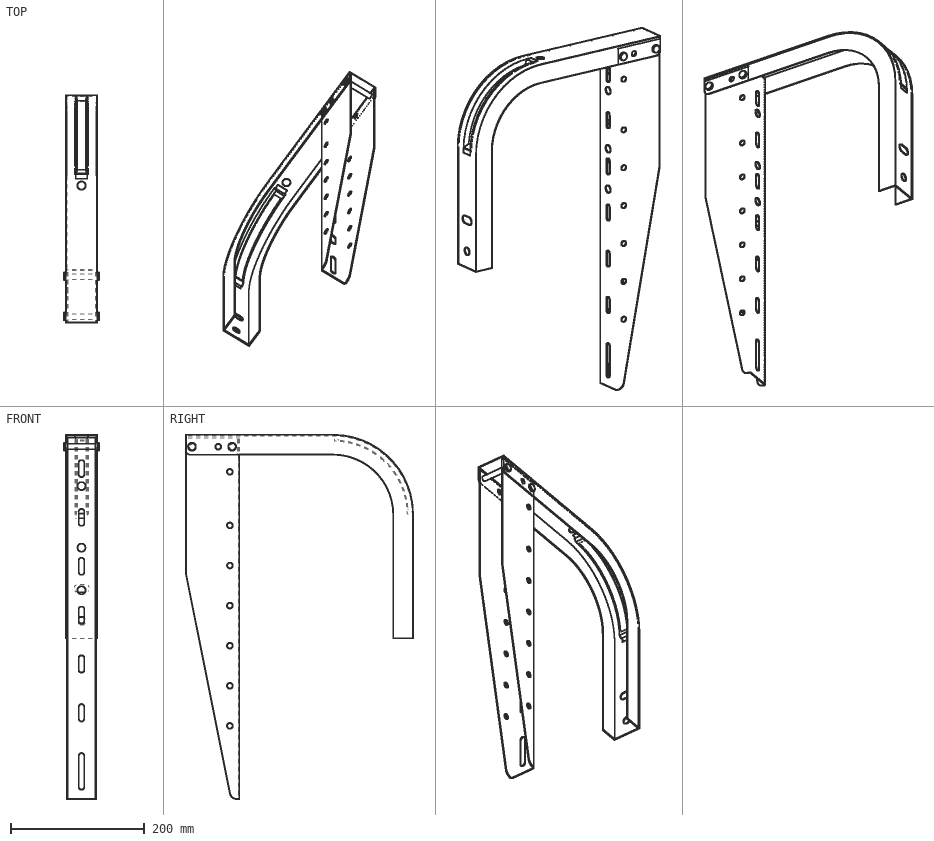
import cadquery as cq
import math

sheet = 1.5
height = 545.0
reach = 340.0

arm_width = 47.0
arm_depth = 30.0
bend_radius = 120.0
arm_tail_z = 240.5
arm_end_round = 7.0

bead_depth = 7.5
bead_mouth = 17.0
bead_floor = 12.0
bead_lip_depth = 0.5
bead_lip_start = -5.0
bead_ramp_start = 3.0
bead_floor_start = 8.0
bead_back_start = 1.5

post_width = arm_width - 2 * sheet
post_depth = 80.0
post_top = 540.0
post_corner = 3.0
taper_top = 337.5
post_foot_depth = 12.5
foot_round = 11.0

hole_dia = 12.0
slot_width = 8.0
slot_length = 25.5
slot_pitch = 73.0
slot_count = 6
lowest_slot_z = 129.0
foot_slot_bottom = 14.0
foot_slot_top = 68.5
web_hole_heights = (312.5, 376.0, 468.0)
flange_hole_dia = 8.0
flange_hole_y = 66.0
flange_hole_pitch = 60.0
flange_hole_count = 6
lowest_flange_hole_z = 109.5
top_flange_hole_z = 489.5
arm_top_hole_y = 205.0
arm_tail_hole_z = 266.5
arm_tail_slot_z = 315.5
arm_tail_slot_length = 23.0

pin_dia = 8.0
head_dia = 12.0
head_chamfer = 0.5
pin_length = 53.0
pin_z = 527.0
pin_places_y = (9.0, 69.0)
arm_side_hole_y = 48.5

bend_y = reach - bend_radius
bend_z = height - bend_radius


def x_cylinder(diameter, length, y, z):
    """Cylinder along X, centred on X = 0."""
    return cq.Workplane("YZ").center(y, z).circle(diameter / 2).extrude(length / 2, both=True)


def bead_solid(wall, end_profile):
    """Trapezoid groove along the bend, enlarged by a wall thickness.

    `end_profile` lists (place along the hook, distance from the bend centre) from the outer
    surface down to the floor; both ends are alike, mirrored about the bend's 45 degree line.
    """
    clearance = 1.5
    over_angle = 10
    floor_radius = bend_radius - bead_depth - wall
    top_radius = bend_radius + clearance
    slope = (bead_mouth - bead_floor) / 2 / bead_depth
    floor_half = bead_floor / 2 + wall
    top_half = floor_half + slope * (top_radius - floor_radius)
    ring = (
        cq.Workplane("XY", origin=(0, bend_y, bend_z))
        .polyline([
            (-floor_half, floor_radius),
            (floor_half, floor_radius),
            (top_half, top_radius),
            (-top_half, top_radius),
        ])
        .close()
        .revolve(90 + 2 * over_angle, (0, 0), (1, 0))
        .rotate((0, bend_y, bend_z), (1, bend_y, bend_z), -over_angle)
    )

    middle = floor_radius * math.sqrt(0.5)
    floor_place, floor_distance = end_profile[-1]
    outline = (
        cq.Workplane("YZ")
        .center(bend_y, bend_z)
        .moveTo(end_profile[0][0], top_radius)
    )
    for place, distance in end_profile:
        outline = outline.lineTo(place, distance)
    outline = outline.threePointArc((middle, middle), (floor_distance, floor_place))
    for place, distance in reversed(end_profile[:-1]):
        outline = outline.lineTo(distance, place)
    outline = (
        outline.lineTo(top_radius, end_profile[0][0])
        .lineTo(top_radius, top_radius)
        .close()
        .extrude(top_half, both=True)
    )
    return ring.intersect(outline)


def on_circle(place, radius):
    """Point of a circle about the bend centre at a given place along the hook."""
    return (place, math.sqrt(radius**2 - place**2))


def bead_cavity():
    lip_radius = bend_radius - bead_lip_depth
    return bead_solid(0, [
        (bead_lip_start, lip_radius),
        (bead_ramp_start, lip_radius),
        on_circle(bead_floor_start, bend_radius - bead_depth),
    ])


def bead_back():
    back = bead_solid(sheet, [on_circle(bead_back_start, bend_radius - bead_depth - sheet)])
    return back.intersect(hook(arm_width, 0, arm_depth))


def hook(width, outer_offset, inner_offset):
    """Band along the hook between two offsets inwards from its outer surface."""
    outer_radius = bend_radius - outer_offset
    inner_radius = bend_radius - inner_offset
    return (
        cq.Workplane("YZ")
        .moveTo(0, bend_z + outer_radius)
        .lineTo(bend_y, bend_z + outer_radius)
        .radiusArc((bend_y + outer_radius, bend_z), outer_radius)
        .lineTo(bend_y + outer_radius, arm_tail_z)
        .lineTo(bend_y + inner_radius, arm_tail_z)
        .lineTo(bend_y + inner_radius, bend_z)
        .radiusArc((bend_y, bend_z + inner_radius), -inner_radius)
        .lineTo(0, bend_z + inner_radius)
        .close()
        .extrude(width / 2, both=True)
    )


def make_arm():
    arm = hook(arm_width, 0, arm_depth).cut(hook(arm_width - 2 * sheet, sheet, arm_depth))

    flange_z = height - arm_depth
    corner_waste = (
        cq.Workplane("YZ")
        .moveTo(0, flange_z)
        .lineTo(arm_end_round, flange_z)
        .radiusArc((0, flange_z + arm_end_round), arm_end_round)
        .close()
        .extrude(arm_width / 2, both=True)
    )
    arm = arm.cut(corner_waste)

    arm = arm.union(bead_back()).cut(bead_cavity())

    top_hole = (
        cq.Workplane("XY", origin=(0, arm_top_hole_y, height - arm_depth))
        .circle(hole_dia / 2)
        .extrude(arm_depth)
    )
    tail_hole = (
        cq.Workplane("XZ", origin=(0, reach, 0))
        .center(0, arm_tail_hole_z)
        .circle(hole_dia / 2)
        .extrude(arm_depth)
    )
    tail_slot = (
        cq.Workplane("XZ", origin=(0, reach, 0))
        .center(0, arm_tail_slot_z)
        .slot2D(arm_tail_slot_length, hole_dia)
        .extrude(arm_depth)
    )
    return arm.cut(top_hole).cut(tail_hole).cut(tail_slot)


def make_post():
    outside = (
        cq.Workplane("XY")
        .rect(post_width, 2 * post_depth)
        .extrude(post_top)
        .edges("|Z and >Y")
        .fillet(post_corner)
    )
    inside = (
        cq.Workplane("XY")
        .rect(post_width - 2 * sheet, 2 * (post_depth - sheet))
        .extrude(post_top)
        .edges("|Z and >Y")
        .fillet(post_corner - sheet)
    )
    post = outside.cut(inside)

    side_outline = (
        cq.Workplane("YZ")
        .moveTo(post_depth, 0)
        .lineTo(post_depth, post_top)
        .lineTo(0, post_top)
        .lineTo(0, taper_top)
        .lineTo(post_depth - post_foot_depth, 0)
        .close()
        .extrude(post_width / 2, both=True)
    )
    foot_corner = cq.selectors.NearestToPointSelector((0, post_depth - post_foot_depth, 0))
    post = post.intersect(side_outline.edges("|X").edges(foot_corner).fillet(foot_round))

    web = cq.Workplane("XZ", origin=(0, post_depth, 0))
    slots = (
        web.pushPoints([(0, lowest_slot_z + i * slot_pitch) for i in range(slot_count)])
        .slot2D(slot_length, slot_width, 90)
        .extrude(sheet)
    )
    foot_slot = (
        web.center(0, (foot_slot_bottom + foot_slot_top) / 2)
        .slot2D(foot_slot_top - foot_slot_bottom, slot_width, 90)
        .extrude(sheet)
    )
    holes = web.pushPoints([(0, z) for z in web_hole_heights]).circle(hole_dia / 2).extrude(sheet)
    post = post.cut(slots).cut(foot_slot).cut(holes)

    for i in range(flange_hole_count):
        z = lowest_flange_hole_z + i * flange_hole_pitch
        post = post.cut(x_cylinder(flange_hole_dia, post_width, flange_hole_y, z))
    return post.cut(x_cylinder(flange_hole_dia, post_width, flange_hole_y, top_flange_hole_z))


def make_pin(y):
    pin = x_cylinder(pin_dia, pin_length, y, pin_z)
    heads = x_cylinder(head_dia, pin_length, y, pin_z).faces("<X or >X").chamfer(head_chamfer)
    return pin.union(heads.cut(x_cylinder(head_dia, arm_width, y, pin_z)))


result = make_arm().union(make_post())
result = result.cut(x_cylinder(flange_hole_dia, arm_width, arm_side_hole_y, pin_z))
for pin_y in pin_places_y:
    result = result.union(make_pin(pin_y))